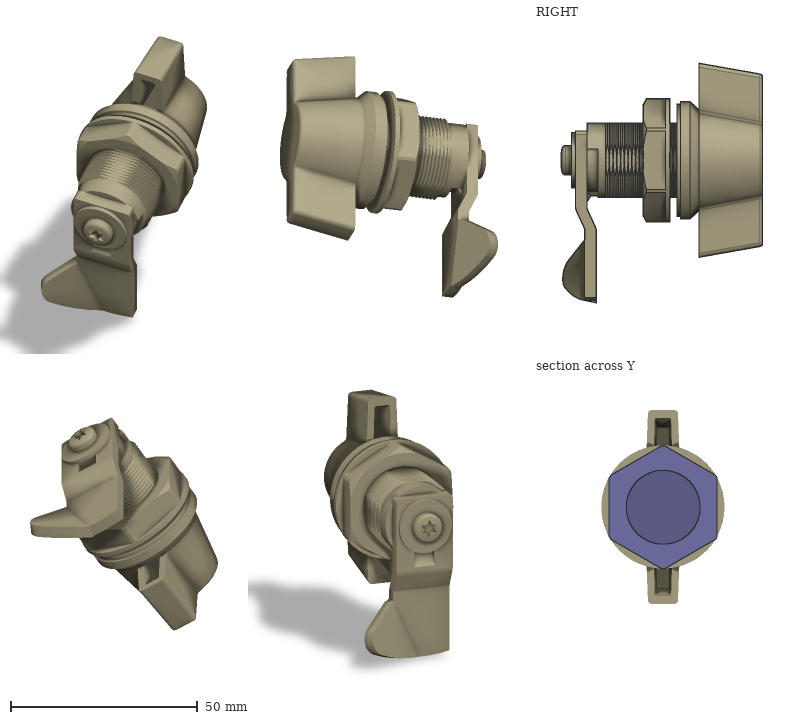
import cadquery as cq
import math


knob_top_y = 23.0
knob_base_y = 5.9
flange_edge_y = 3.5
flange_back_y = 0.95
thread_end_y = -19.1
housing_end_y = -24.0
nut_face_y = -1.85
nut_end_y = -9.0

knob_draft = math.tan(math.radians(10))
knob_height = knob_top_y - knob_base_y
knob_base_radius = 13.55
knob_top_radius = knob_base_radius - knob_height * knob_draft
knob_top_fillet = 0.9
wing_span = 26.0
wing_tip_half = 4.0
wing_middle_half = 5.0
wing_narrowing = 0.25
wing_tip_fillet = 1.1
wing_root_fillet = 0.95

pocket_depth = 14.15
pocket_inner_z = 9.65
pocket_outer_z = 23.85
pocket_outer_half = 2.2
pocket_inner_half = 2.65
pocket_floor_outer_half = 1.7
pocket_floor_inner_half = 1.8
pocket_corner_fillet = 0.45
pocket_floor_fillet = 0.4

flange_radius = 15.8
thread_radius = 11.0
thread_root_radius = 9.95
thread_count = 19
thread_pitch = -thread_end_y / thread_count
flat_half = 10.0
stop_depth = 2.9
stop_inner_radius = 8.35

gasket_radius = 15.05

nut_flange_radius = 16.5
nut_flange_thickness = 1.2
nut_across_flats = 29.05
nut_corner_chamfer_width = 1.6
nut_corner_chamfer_height = 0.85
nut_mouth_radius = 11.3

cam_thickness = 3.15
cam_half_width = 8.0
cam_top_z = 7.9
cam_corner_fillet = 0.95
cam_radius = 37.6
cam_offset = 2.5
inner_bend_radius = 0.65
upper_bend_z = -13.05
lower_bend_z = -18.45
flap_angle = 28
fold_start_z = -21.25
fold_end_x = -0.8
flap_edge_angle = 38.5
flap_tip_fillet = 4.3

tab_half_width = 2.8
tab_clearance = 0.2
tab_bottom_z = -11.5
tab_tip_z = -8.1
tab_slope_angle = 31
tab_thickness = 2.5
tab_slot_top_z = -6.75

washer_radius = 7.45
washer_thickness = 1.1
screw_radius = 4.0
screw_side_height = 1.55
screw_rim_radius = 3.35
screw_rim_height = 2.45
screw_dome_height = 2.9
torx_point_radius = 2.5
torx_valley_radius = 1.5
torx_depth = 1.6
torx_points = 6

cam_front_y = housing_end_y - cam_thickness
washer_front_y = cam_front_y - washer_thickness


def revolved(profile):
    """A solid of revolution about the Y axis from (radius, y) points."""
    return cq.Workplane("XY").polyline(profile).close().revolve(360, (0, 0), (0, 1))


def facing_back(y):
    """A sketch plane at y that extrudes toward -Y, with X to the right and Z up."""
    return cq.Workplane("XZ", origin=(0, y, 0))


def wing_outline(y, span, tip_half, middle_half):
    """The hexagon of the double wing at one height of the knob."""
    points = [
        (tip_half, span),
        (middle_half, 0),
        (tip_half, -span),
        (-tip_half, -span),
        (-middle_half, 0),
        (-tip_half, span),
    ]
    return cq.Wire.makePolygon([cq.Vector(x, y, z) for x, z in points], close=True)


def pocket_outline(y, inner_z, outer_z, inner_half, outer_half):
    """The trapezoid of a wing hollow at one depth."""
    points = [
        (inner_half, inner_z),
        (outer_half, outer_z),
        (-outer_half, outer_z),
        (-inner_half, inner_z),
    ]
    return cq.Wire.makePolygon([cq.Vector(x, y, z) for x, z in points], close=True)


def make_wing_pocket():
    """The tapered hollow of the upper wing, open at the base of the knob."""
    mouth = pocket_outline(knob_base_y, pocket_inner_z, pocket_outer_z, pocket_inner_half, pocket_outer_half)
    floor_outer_z = pocket_outer_z - pocket_depth * knob_draft
    floor = pocket_outline(
        knob_base_y + pocket_depth,
        pocket_inner_z,
        floor_outer_z,
        pocket_floor_inner_half,
        pocket_floor_outer_half,
    )
    pocket = cq.Workplane(cq.Solid.makeLoft([mouth, floor], True))
    outer_corners = pocket.faces(">Z").edges("not(|X)")
    return outer_corners.fillet(pocket_corner_fillet).faces(">Y").edges().fillet(pocket_floor_fillet)


def make_knob():
    cone = revolved([
        (0, knob_base_y),
        (knob_base_radius, knob_base_y),
        (knob_top_radius, knob_top_y),
        (0, knob_top_y),
    ])
    base = wing_outline(knob_base_y, wing_span, wing_tip_half, wing_middle_half)
    top = wing_outline(
        knob_top_y,
        wing_span - knob_height * knob_draft,
        wing_tip_half - wing_narrowing,
        wing_middle_half - wing_narrowing,
    )
    wings = cq.Workplane(cq.Solid.makeLoft([base, top], True))
    cone_zone = cq.selectors.BoxSelector(
        (-wing_middle_half, knob_base_y, -knob_base_radius),
        (wing_middle_half, knob_top_y, knob_base_radius),
    )
    tip_edges = wings.edges("not(#Y)").edges(cq.selectors.InverseSelector(cone_zone))
    wings = tip_edges.fillet(wing_tip_fillet)
    knob = cone.union(wings)
    root_zone = cq.selectors.BoxSelector(
        (-wing_middle_half, knob_base_y + wing_root_fillet, -knob_base_radius),
        (wing_middle_half, knob_top_y - wing_root_fillet, knob_base_radius),
    )
    knob = knob.edges(root_zone).fillet(wing_root_fillet)
    knob = knob.faces(">Y").edges().fillet(knob_top_fillet)
    pocket = make_wing_pocket()
    return knob.cut(pocket).cut(pocket.mirror("XY"))


def make_threaded_rod():
    """Thread rings with V grooves, from the sealing face to the end of the thread."""
    profile = [(0, 0), (thread_root_radius, 0)]
    for turn in range(thread_count):
        profile.append((thread_radius, -(turn + 0.5) * thread_pitch))
        profile.append((thread_root_radius, -(turn + 1) * thread_pitch))
    profile.append((0, thread_end_y))
    return revolved(profile)


def make_stop_recess():
    """The quarter-turn recess in the housing end, in which the cam's tab travels."""
    side = tab_half_width + tab_clearance
    reach = flat_half + side
    quadrant = facing_back(housing_end_y + stop_depth).center(-side, side)
    quadrant = quadrant.rect(2 * reach, -2 * reach, centered=False).extrude(stop_depth)
    core = facing_back(housing_end_y + stop_depth).circle(stop_inner_radius).extrude(stop_depth)
    return quadrant.cut(core)


def make_housing():
    flange = revolved([
        (0, knob_base_y),
        (knob_base_radius, knob_base_y),
        (flange_radius, flange_edge_y),
        (flange_radius, flange_back_y),
        (0, flange_back_y),
    ])
    neck = facing_back(flange_back_y).circle(thread_radius).extrude(flange_back_y)
    flats = facing_back(0).rect(2 * flat_half, 2 * flat_half).extrude(-thread_end_y)
    thread = make_threaded_rod().intersect(flats)
    end = facing_back(thread_end_y).circle(flat_half).extrude(thread_end_y - housing_end_y)
    return flange.union(neck).union(thread).union(end).cut(make_stop_recess())


def make_gasket():
    return facing_back(flange_back_y).circle(gasket_radius).circle(thread_radius).extrude(flange_back_y)


def make_nut():
    """Hexagon nut with an integral round flange, threaded to match the housing."""
    blank = revolved([
        (0, nut_face_y),
        (nut_flange_radius, nut_face_y),
        (nut_flange_radius, nut_end_y + nut_corner_chamfer_height),
        (nut_flange_radius - nut_corner_chamfer_width, nut_end_y),
        (0, nut_end_y),
    ])
    half_sector = 30
    corner_diameter = nut_across_flats / math.cos(math.radians(half_sector))
    flange_zone = facing_back(nut_face_y).circle(nut_flange_radius).extrude(nut_flange_thickness)
    hexagon = facing_back(nut_face_y).transformed(rotate=(0, 0, half_sector)).polygon(6, corner_diameter)
    hexagon = hexagon.extrude(nut_face_y - nut_end_y)
    mouth_depth = nut_mouth_radius - thread_root_radius
    mouth = revolved([
        (0, nut_end_y),
        (nut_mouth_radius, nut_end_y),
        (thread_root_radius, nut_end_y + mouth_depth),
        (0, nut_end_y + mouth_depth),
    ])
    return blank.intersect(hexagon.union(flange_zone)).cut(make_threaded_rod()).cut(mouth)


def make_cam_arm():
    """The bent strip from the screw down to the arc at its lower end, with its full width."""
    lower_back_y = housing_end_y + cam_offset
    lower_front_y = cam_front_y + cam_offset
    strip = cq.Workplane("YZ", origin=(-cam_half_width, 0, 0)).polyline([
        (housing_end_y, cam_top_z),
        (housing_end_y, upper_bend_z),
        (lower_back_y, lower_bend_z),
        (lower_back_y, -cam_radius),
        (lower_front_y, -cam_radius),
        (lower_front_y, lower_bend_z),
        (cam_front_y, upper_bend_z),
        (cam_front_y, cam_top_z),
    ]).close().extrude(2 * cam_half_width)
    outer_bends = [(cam_front_y, upper_bend_z), (lower_back_y, lower_bend_z)]
    for y, z in outer_bends:
        strip = strip.edges(cq.selectors.NearestToPointSelector((0, y, z))).fillet(cam_thickness)
    inner_bends = [(housing_end_y, upper_bend_z), (lower_front_y, lower_bend_z)]
    for y, z in inner_bends:
        strip = strip.edges(cq.selectors.NearestToPointSelector((0, y, z))).fillet(inner_bend_radius)
    strip = strip.edges("|Y and >Z").fillet(cam_corner_fillet)
    sweep = facing_back(lower_back_y).circle(cam_radius).extrude(lower_back_y - cam_front_y)
    return strip.intersect(sweep)


def make_flap_blank():
    """The lower end of the cam before folding: bounded by the edge of the flap and the cam's arc."""
    start_x = -cam_half_width
    edge_x = -math.cos(math.radians(flap_edge_angle))
    edge_z = -math.sin(math.radians(flap_edge_angle))
    along = start_x * edge_x + fold_start_z * edge_z
    beyond = cam_radius**2 - start_x**2 - fold_start_z**2
    edge_length = -along + math.sqrt(along**2 + beyond)
    corner = (start_x + edge_length * edge_x, fold_start_z + edge_length * edge_z)
    right_bottom_z = -math.sqrt(cam_radius**2 - cam_half_width**2)
    blank = facing_back(housing_end_y + cam_offset).moveTo(start_x, fold_start_z).lineTo(*corner)
    blank = blank.threePointArc((0, -cam_radius), (cam_half_width, right_bottom_z))
    blank = blank.lineTo(cam_half_width, fold_start_z).close().extrude(cam_thickness)
    return blank.edges("|Y and <X").fillet(flap_tip_fillet)


def make_cam_end():
    """The flat part and the flap of the cam's lower end, and the half-space beyond their mitre plane.

    The flap is folded toward -Y along a slanted line on the front face.
    """
    front_y = cam_front_y + cam_offset
    fold_end_z = -math.sqrt(cam_radius**2 - fold_end_x**2)
    fold_start = cq.Vector(-cam_half_width, front_y, fold_start_z)
    fold_end = cq.Vector(fold_end_x, front_y, fold_end_z)
    fold_direction = (fold_end - fold_start).normalized()
    outward = fold_direction.cross(cq.Vector(0, -1, 0))
    half_angle = math.radians(flap_angle / 2)
    mitre_normal = outward * math.cos(half_angle) + cq.Vector(0, -math.sin(half_angle), 0)
    mitre = cq.Workplane(cq.Plane(fold_start, fold_direction, mitre_normal))
    flap_side = mitre.rect(4 * cam_radius, 4 * cam_radius).extrude(2 * cam_radius)
    blank = make_flap_blank()
    folded = blank.rotate(fold_start.toTuple(), fold_end.toTuple(), -flap_angle)
    return blank.cut(flap_side), folded.intersect(flap_side), flap_side


def make_tab():
    """The stop tab, bent from the bottom of its slot toward the housing."""
    slope = math.radians(tab_slope_angle)
    tip_y = cam_front_y + (tab_tip_z - tab_bottom_z) * math.tan(slope)
    across_y = tab_thickness * math.cos(slope)
    across_z = -tab_thickness * math.sin(slope)
    back_tip_y = tip_y + across_y
    back_tip_z = tab_tip_z + across_z
    root_back_z = back_tip_z - (back_tip_y - housing_end_y) / math.tan(slope)
    tab = cq.Workplane("YZ", origin=(-tab_half_width, 0, 0)).polyline([
        (cam_front_y, tab_bottom_z),
        (tip_y, tab_tip_z),
        (back_tip_y, back_tip_z),
        (housing_end_y, root_back_z),
        (housing_end_y, tab_bottom_z),
    ])
    return tab.close().extrude(2 * tab_half_width)


def make_cam():
    flat_end, flap, flap_side = make_cam_end()
    fold_zone = facing_back(housing_end_y + cam_offset).center(0, fold_start_z)
    fold_zone = fold_zone.rect(2 * cam_half_width, -cam_radius, centered=(True, False))
    fold_zone = fold_zone.extrude(cam_thickness)
    arm = make_cam_arm().cut(flap_side.intersect(fold_zone))
    slot_height = tab_slot_top_z - tab_bottom_z
    slot = facing_back(housing_end_y).center(0, tab_bottom_z + slot_height / 2)
    slot = slot.rect(2 * tab_half_width, slot_height).extrude(cam_thickness)
    return arm.union(flat_end).union(flap).cut(slot).union(make_tab())


def make_washer():
    return facing_back(cam_front_y).circle(washer_radius).extrude(washer_thickness)


def make_screw():
    """Domed screw head with a six-pointed recess."""
    rim_y = washer_front_y - screw_rim_height
    side_y = washer_front_y - screw_side_height
    apex_y = washer_front_y - screw_dome_height
    profile = cq.Workplane("XY").moveTo(0, washer_front_y).lineTo(screw_radius, washer_front_y)
    profile = profile.lineTo(screw_radius, side_y)
    profile = profile.tangentArcPoint((screw_rim_radius, rim_y), relative=False)
    dome_middle = (screw_rim_radius / 2, apex_y + (rim_y - apex_y) / 4)
    profile = profile.threePointArc(dome_middle, (0, apex_y)).close()
    head = profile.revolve(360, (0, 0), (0, 1))
    star = []
    for corner in range(2 * torx_points):
        radius = torx_valley_radius if corner % 2 else torx_point_radius
        angle = math.pi / 2 + corner * math.pi / torx_points
        star.append((radius * math.cos(angle), radius * math.sin(angle)))
    recess = facing_back(apex_y + torx_depth).polyline(star).close().extrude(torx_depth)
    return head.cut(recess)


knob = make_knob()
housing = make_housing()
gasket = make_gasket()
nut = make_nut()
cam = make_cam()
washer = make_washer()
screw = make_screw()

result = cq.Compound.makeCompound([
    knob.val(),
    housing.val(),
    gasket.val(),
    nut.val(),
    cam.val(),
    washer.val(),
    screw.val(),
])